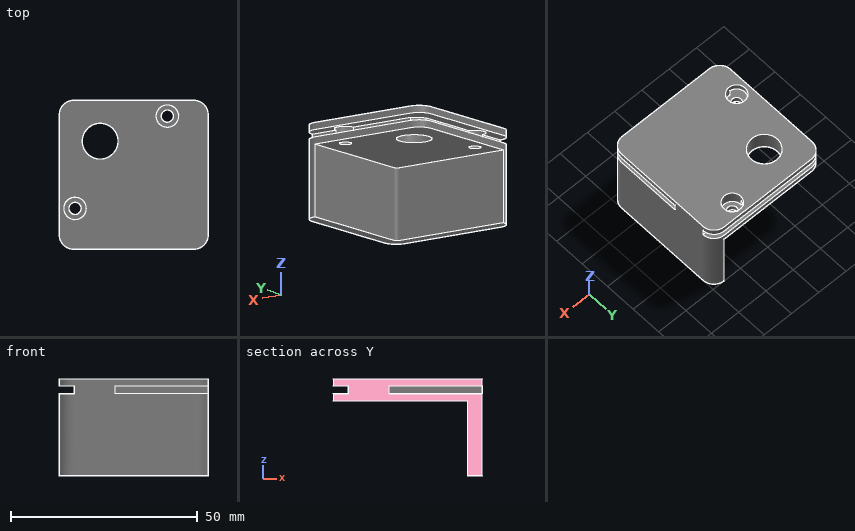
import cadquery as cq

SIDE = 40.0
HEIGHT = 26.0
CORNER_RADIUS = 4.0
PLATE_THICKNESS = 2.0
WALL_THICKNESS = 4.0
INNER_FILLET = 1.0

SCREW_OFFSET_NEAR = 9.0
SCREW_OFFSET_FAR = 15.7
SCREW_DIAMETER = 3.2
HEAD_DIAMETER = 6.0
SHAFT_DIAMETER = 9.5
SHAFT_OFFSET = 9.0

GROOVE_DEPTH = 4.0
GROOVE_CHAMFER = 2.9
CORNER_SLOT_SIZE = 25.0

HALF = SIDE / 2
SLOT_TOP = HEIGHT - PLATE_THICKNESS
SLOT_BOTTOM = SLOT_TOP - PLATE_THICKNESS
PLATE_BOTTOM = SLOT_BOTTOM - PLATE_THICKNESS

SCREW_POINTS = [
    (-SCREW_OFFSET_FAR, -SCREW_OFFSET_NEAR),
    (SCREW_OFFSET_NEAR, SCREW_OFFSET_FAR),
]


def rounded_block():
    block = cq.Workplane("XY").rect(SIDE, SIDE).extrude(HEIGHT)
    return block.edges("|Z").fillet(CORNER_RADIUS)


def space_inside_walls():
    """Open space under the plates, leaving walls on the -Y and +X sides."""
    size = SIDE - WALL_THICKNESS
    return (
        cq.Workplane("XY")
        .rect(size, size)
        .extrude(PLATE_BOTTOM)
        .edges("|Z and >X and <Y")
        .fillet(INNER_FILLET)
        .translate((-WALL_THICKNESS / 2, WALL_THICKNESS / 2, 0))
    )


def edge_groove():
    """Groove between the plates along the -X and +Y sides, with a bevelled inner corner."""
    core_size = SIDE - GROOVE_DEPTH
    core = (
        cq.Workplane("XY")
        .rect(core_size, core_size)
        .extrude(PLATE_THICKNESS)
        .edges("|Z and <X and >Y")
        .chamfer(GROOVE_CHAMFER)
        .translate((GROOVE_DEPTH / 2, -GROOVE_DEPTH / 2, 0))
    )
    layer = cq.Workplane("XY").rect(SIDE, SIDE).extrude(PLATE_THICKNESS)
    return layer.cut(core).translate((0, 0, SLOT_BOTTOM))


def corner_slot():
    """Square slot between the plates, open at the (+X, -Y) corner."""
    return (
        cq.Workplane("XY", origin=(HALF, -HALF, SLOT_BOTTOM))
        .center(-CORNER_SLOT_SIZE / 2, CORNER_SLOT_SIZE / 2)
        .rect(CORNER_SLOT_SIZE, CORNER_SLOT_SIZE)
        .extrude(PLATE_THICKNESS)
    )


def screw_holes():
    """Screw holes through the lower plate, with head bores down to its top face."""
    shanks = cq.Workplane("XY").pushPoints(SCREW_POINTS).circle(SCREW_DIAMETER / 2).extrude(HEIGHT)
    heads = (
        cq.Workplane("XY", origin=(0, 0, SLOT_BOTTOM))
        .pushPoints(SCREW_POINTS)
        .circle(HEAD_DIAMETER / 2)
        .extrude(HEIGHT - SLOT_BOTTOM)
    )
    return shanks.union(heads)


def shaft_hole():
    return (
        cq.Workplane("XY")
        .center(-SHAFT_OFFSET, SHAFT_OFFSET)
        .circle(SHAFT_DIAMETER / 2)
        .extrude(HEIGHT)
    )


result = (
    rounded_block()
    .cut(space_inside_walls())
    .cut(edge_groove())
    .cut(corner_slot())
    .cut(screw_holes())
    .cut(shaft_hole())
)